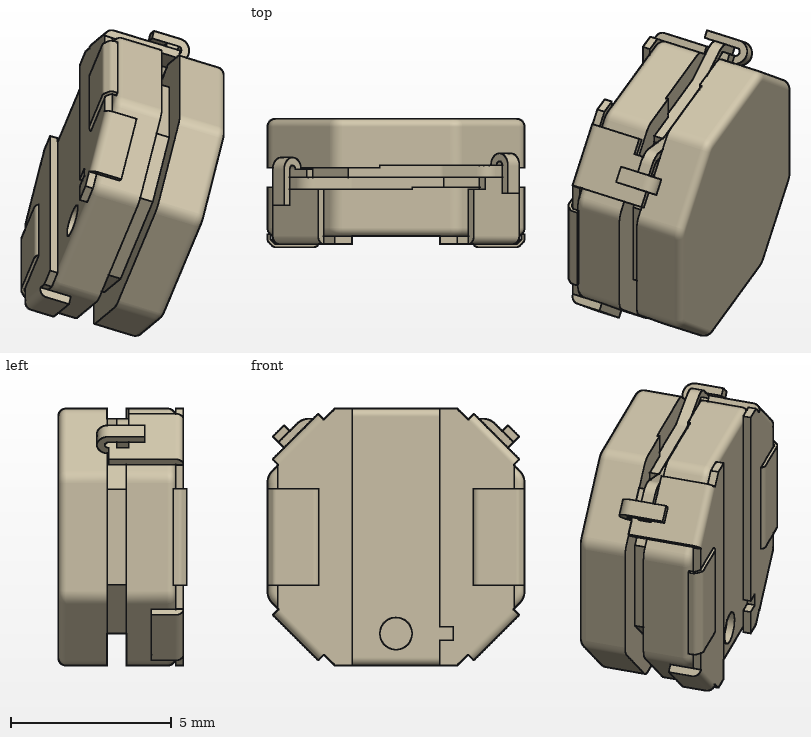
import cadquery as cq
import math


SQRT2 = math.sqrt(2)
EIGHTH_TURN = math.radians(45)

core_half = 4.0
core_corner = 1.9
core_depth = 3.65
core_corner_radius = 0.53
core_rim_radius = 0.25
gap = 0.6
winding_inset = 1.0
winding_half = core_half - winding_inset
winding_corner = core_corner - winding_inset * math.tan(EIGHTH_TURN / 2)
core_middle = core_depth / 2
flange_depth = (core_depth - gap) / 2
core_diagonal = (core_half + core_corner) / SQRT2

hole_diameter = 1.0
hole_depth = 0.25
hole_z = -3.0

ribbon_thickness = 0.25
ribbon_width = 0.38
ribbon_inner_radius = 0.28
ribbon_slope = math.radians(20)
ribbon_lift_x = 1.44
flange_notch_x = 0.5

sheet = 0.25
terminal_half_width = 3.67
terminal_inner_x = 1.37
wall_half = 1.0
tongue_upper_end = 0.5
hook_width = 0.5
upper_wall_end = core_middle - ribbon_width
lower_wall_end = 0.75
left_tongue_end = 2.07
left_hook_end = 0.95
right_tongue_end = core_middle + ribbon_width
right_hook_end = 1.33
slot_width = 0.41
slot_depth = 0.42

pad_sheet = 0.1
pad_half_length = 1.5
pad_inner_x = 2.4
pad_back = 0.06
pad_radius = 0.16
pad_end_radius = 0.2
pad_bevel = 0.2


def octagon_prism(half, corner, front, back):
    """Octagon across the core axis, running from Y = front to Y = back."""
    points = [
        (half, corner), (corner, half), (-corner, half), (-half, corner),
        (-half, -corner), (-corner, -half), (corner, -half), (half, -corner),
    ]
    return cq.Workplane("XZ", origin=(0, front, 0)).polyline(points).close().extrude(front - back)


def block(x_range, y_range, z_range):
    """Box between the given limits."""
    size = [high - low for low, high in (x_range, y_range, z_range)]
    start = (x_range[0], y_range[0], z_range[0])
    return cq.Workplane("XY").box(*size, centered=False).translate(start)


def diagonal_plane(slope_offset):
    """Upper right diagonal: local x points outward, local y is Y, the normal climbs the slope."""
    climb = slope_offset / SQRT2
    return cq.Workplane(cq.Plane(origin=(-climb, 0, climb), xDir=(1, 0, 1), normal=(-1, 0, 1)))


def mirrored(body):
    """Left-hand copy of a right-hand body."""
    return body.mirror("YZ")



def make_ribbon(front):
    """Right-hand ribbon: flat on the winding, rising outward, then bent down the diagonal."""
    middle_z = winding_half + ribbon_thickness / 2
    diagonal_sum = (core_diagonal + sheet + ribbon_thickness / 2) * SQRT2
    rise = math.tan(ribbon_slope)
    bend_x = (diagonal_sum - middle_z + rise * ribbon_lift_x) / (1 + rise)
    end_x = (diagonal_sum + hook_width * SQRT2) / 2
    path_points = [
        (-winding_corner, middle_z),
        (ribbon_lift_x, middle_z),
        (bend_x, diagonal_sum - bend_x),
        (end_x, diagonal_sum - end_x),
    ]
    middle_y = front + ribbon_width / 2
    path = cq.Wire.makePolygon([cq.Vector(x, middle_y, z) for x, z in path_points])
    bends = path.Vertices()[1:-1]
    path = path.fillet(ribbon_inner_radius + ribbon_thickness / 2, bends)
    section = cq.Workplane("YZ", origin=(-winding_corner, middle_y, middle_z))
    return section.rect(ribbon_width, ribbon_thickness).sweep(cq.Workplane(path))


left_ribbon = mirrored(make_ribbon(core_middle - ribbon_width))
right_ribbon = make_ribbon(core_middle)



def point_on_arc(centre, radius, degrees):
    """Point of a circle at the given angle from the X axis."""
    angle = math.radians(degrees)
    return centre[0] + radius * math.cos(angle), centre[1] + radius * math.sin(angle)


def add_arc(profile, centre, radius, start, end):
    """Extend the profile by a straight line to an arc and by the arc itself (angles in degrees)."""
    arc_middle = point_on_arc(centre, radius, (start + end) / 2)
    profile = profile.lineTo(*point_on_arc(centre, radius, start))
    return profile.threePointArc(arc_middle, point_on_arc(centre, radius, end))


def make_pad():
    """Right-hand pad: flat on the terminal, bent back around its outer edge in two half-right bends."""
    face = -sheet
    front = face - pad_sheet
    outer = core_half
    inner_radius = pad_radius - pad_sheet
    setback = pad_radius * math.tan(EIGHTH_TURN / 2)
    first_centre = (outer - pad_bevel - setback, front + pad_radius)
    second_centre = (outer - pad_radius, front + pad_bevel + setback)

    end_run = math.sqrt(pad_end_radius**2 - (pad_end_radius - pad_sheet) ** 2)
    end_centre = (pad_inner_x + end_run, front + pad_end_radius)
    end_angle = math.degrees(math.asin(end_run / pad_end_radius))
    end_middle = point_on_arc(end_centre, pad_end_radius, -90 - end_angle / 2)

    profile = cq.Workplane("XY", origin=(0, 0, -pad_half_length)).moveTo(pad_inner_x, face)
    profile = profile.threePointArc(end_middle, point_on_arc(end_centre, pad_end_radius, -90))
    profile = add_arc(profile, first_centre, pad_radius, -90, -45)
    profile = add_arc(profile, second_centre, pad_radius, -45, 0)
    profile = profile.lineTo(outer, pad_back).lineTo(outer - pad_sheet, pad_back)
    profile = add_arc(profile, second_centre, inner_radius, 0, -45)
    profile = add_arc(profile, first_centre, inner_radius, -45, -90)
    return profile.close().extrude(2 * pad_half_length)


right_pad = make_pad()
left_pad = mirrored(right_pad)



def make_flange(front, rim):
    """Octagonal flange with rounded corners and a rounded outer rim."""
    flange = octagon_prism(core_half, core_corner, front, front + flange_depth)
    return flange.edges("|Y").fillet(core_corner_radius).faces(rim).edges().fillet(core_rim_radius)


def make_core():
    back_flange_front = core_depth - flange_depth
    core = octagon_prism(winding_half, winding_corner, flange_depth, back_flange_front)
    core = core.union(make_flange(0, "<Y")).union(make_flange(back_flange_front, ">Y"))
    hole = cq.Workplane("XZ", origin=(0, 0, hole_z)).circle(hole_diameter / 2).extrude(-hole_depth)
    above_winding = (winding_half, core_half)
    front_notch = block((-core_half, flange_notch_x), (upper_wall_end, flange_depth), above_winding)
    back_notch = block((-flange_notch_x, core_half), (back_flange_front, right_tongue_end), above_winding)
    core = core.cut(hole).cut(front_notch).cut(back_notch)
    for insert in (left_ribbon, right_ribbon, left_pad, right_pad):
        core = core.cut(insert)
    return core


core = make_core()



def make_front_plate():
    edge_sum = core_diagonal * SQRT2
    points = [
        (terminal_inner_x, core_half),
        (edge_sum - core_half, core_half),
        (terminal_half_width, edge_sum - terminal_half_width),
        (terminal_half_width, terminal_half_width - edge_sum),
        (edge_sum - core_half, -core_half),
        (terminal_inner_x, -core_half),
    ]
    return cq.Workplane("XZ").polyline(points).close().extrude(sheet)


def make_wall(end, length_start, length_end):
    """Wall on the upper diagonal, joined to the front plate by a rounded bend."""
    inside = core_diagonal
    outside = inside + sheet
    mid_bend = (inside + sheet / SQRT2, -sheet / SQRT2)
    profile = diagonal_plane(length_start).moveTo(inside, end).lineTo(outside, end).lineTo(outside, 0)
    profile = profile.threePointArc(mid_bend, (inside, -sheet)).close()
    return profile.extrude(length_end - length_start)


def make_hook(bend_y, end_y):
    """Strip folded over the ribbon: half a turn and a straight arm back toward the front."""
    inside = core_diagonal
    middle = inside + 1.5 * sheet
    profile = diagonal_plane(-hook_width).moveTo(inside, bend_y)
    profile = profile.threePointArc((middle, bend_y + 1.5 * sheet), (inside + 3 * sheet, bend_y))
    profile = profile.lineTo(inside + 3 * sheet, end_y).lineTo(inside + 2 * sheet, end_y)
    profile = profile.lineTo(inside + 2 * sheet, bend_y)
    profile = profile.threePointArc((middle, bend_y + 0.5 * sheet), (inside + sheet, bend_y)).close()
    return profile.extrude(hook_width)


def make_terminal(tongue_end, hook_end):
    """Right-hand terminal."""
    upper_wall = make_wall(upper_wall_end, -wall_half, wall_half)
    tongue = make_wall(tongue_end, -wall_half, tongue_upper_end)
    lower_wall = make_wall(lower_wall_end, -wall_half, wall_half).mirror("XY")
    terminal = make_front_plate().union(upper_wall).union(tongue).union(lower_wall)
    return terminal.union(make_hook(tongue_end, hook_end))


orientation_slot = block(
    (terminal_inner_x, terminal_inner_x + slot_depth),
    (-sheet, 0),
    (hole_z - slot_width / 2, hole_z + slot_width / 2),
)
left_terminal = mirrored(make_terminal(left_tongue_end, left_hook_end)).cut(left_ribbon)
right_terminal = make_terminal(right_tongue_end, right_hook_end).cut(orientation_slot).cut(right_ribbon)


result = cq.Compound.makeCompound([
    core.solids().val(),
    left_ribbon.solids().val(),
    right_ribbon.solids().val(),
    left_terminal.solids().val(),
    right_terminal.solids().val(),
    left_pad.solids().val(),
    right_pad.solids().val(),
])